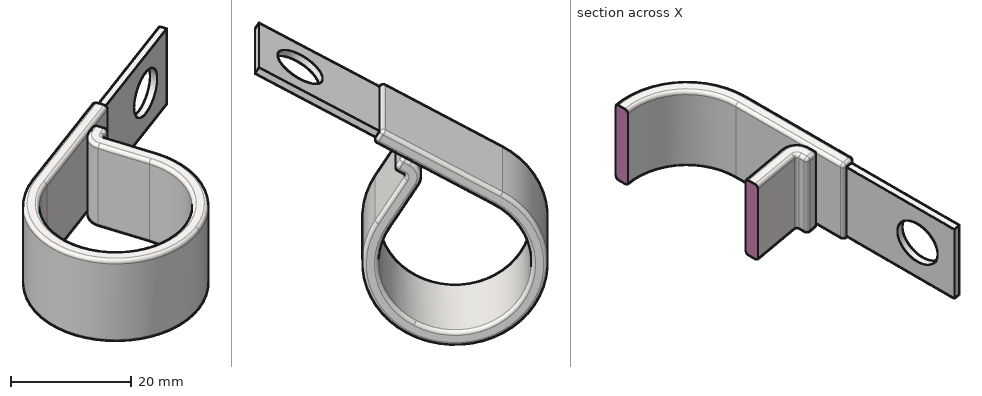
import cadquery as cq
import math


strap_thickness = 1.35
strap_width = 16.0
tab_end_y = 46.81
hole_diameter = 8.7
hole_to_tab_end = 8.0

cushion_cover = 0.7
band_thickness = strap_thickness + 2 * cushion_cover
band_width = strap_width + 2 * cushion_cover
leg_end_y = tab_end_y / 2

ring_outer_diameter = 30.94
ring_outer_radius = ring_outer_diameter / 2
ring_inner_radius = ring_outer_radius - band_thickness

hook_inner_radius = 0.5
hook_outer_radius = hook_inner_radius + band_thickness
hook_straight = 1.85
hook_center_x = hook_outer_radius - ring_inner_radius
hook_center_y = ring_outer_radius + hook_inner_radius
hook_tip_y = hook_center_y + hook_straight

diagonal = math.sqrt(0.5)


def rounded_band(outline):
    """Extrude a band outline about z = 0, rounding its long edges and its +Y end.

    The flat face at y = 0 on the +X side, where the two bands join, stays sharp.
    """
    band = outline.close().extrude(band_width / 2, both=True)
    around_joint = cq.selectors.BoxSelector(
        (0, -cushion_cover, -band_width),
        (ring_outer_diameter, cushion_cover, band_width),
    )
    joint_edges = band.edges("|X").edges(around_joint).objects
    rounded_edges = band.faces("|Z or >Y").edges().objects
    kept = [edge for edge in rounded_edges if not any(edge.isSame(joint) for joint in joint_edges)]
    return band.newObject(kept).fillet(cushion_cover)


def leg_band():
    """Straight leg followed by the -Y half of the ring."""
    outline = (
        cq.Workplane("XY")
        .moveTo(-ring_outer_radius, leg_end_y)
        .lineTo(-ring_outer_radius, 0)
        .threePointArc((0, -ring_outer_radius), (ring_outer_radius, 0))
        .lineTo(ring_inner_radius, 0)
        .threePointArc((0, -ring_inner_radius), (-ring_inner_radius, 0))
        .lineTo(-ring_inner_radius, leg_end_y)
    )
    return rounded_band(outline)


def ring_arc_middle(radius):
    """Midpoint of the quarter arc between the +X and +Y points of the ring."""
    return (radius * diagonal, radius * diagonal)


def hook_arc_middle(radius):
    """Midpoint of the quarter arc of the hook bend."""
    return (hook_center_x - radius * diagonal, hook_center_y - radius * diagonal)


def hook_band():
    """Quarter ring on the +X +Y side, straight arm and hook turned up to +Y."""
    outline = (
        cq.Workplane("XY")
        .moveTo(ring_outer_radius, 0)
        .threePointArc(ring_arc_middle(ring_outer_radius), (0, ring_outer_radius))
        .lineTo(hook_center_x, ring_outer_radius)
        .threePointArc(
            hook_arc_middle(hook_inner_radius),
            (hook_center_x - hook_inner_radius, hook_center_y),
        )
        .lineTo(hook_center_x - hook_inner_radius, hook_tip_y)
        .lineTo(hook_center_x - hook_outer_radius, hook_tip_y)
        .lineTo(hook_center_x - hook_outer_radius, hook_center_y)
        .threePointArc(
            hook_arc_middle(hook_outer_radius),
            (hook_center_x, ring_inner_radius),
        )
        .lineTo(0, ring_inner_radius)
        .threePointArc(ring_arc_middle(ring_inner_radius), (ring_inner_radius, 0))
    )
    return rounded_band(outline)


def mounting_tab():
    """Bare strap, mid-thickness of the leg, with one screw hole through X."""
    tab_x = -ring_outer_radius + band_thickness / 2
    tab = (
        cq.Workplane("XY")
        .box(strap_thickness, tab_end_y, strap_width, centered=(True, False, True))
        .translate((tab_x, 0, 0))
    )
    hole = (
        cq.Workplane("YZ")
        .center(tab_end_y - hole_to_tab_end, 0)
        .circle(hole_diameter / 2)
        .extrude(band_thickness, both=True)
        .translate((tab_x, 0, 0))
    )
    return tab.cut(hole)


result = leg_band().union(hook_band()).union(mounting_tab())